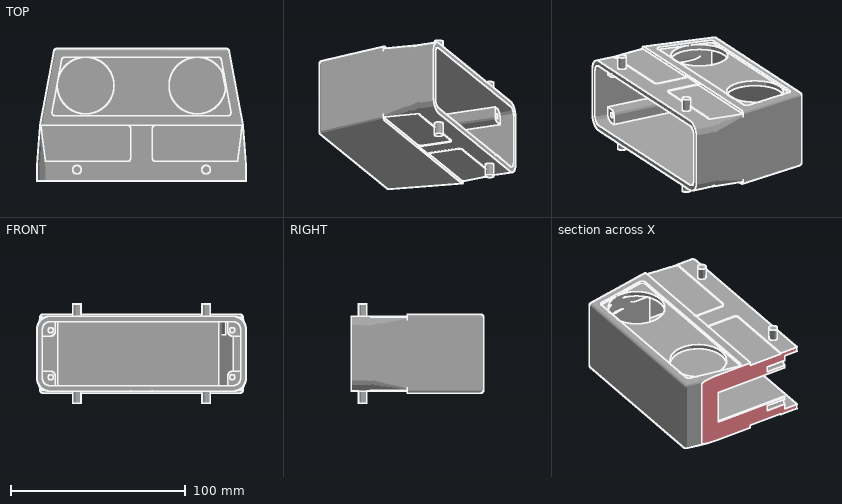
import cadquery as cq


overall_depth = 76.0
pin_span = 57.0

flange_width = 120.0
flange_height = 43.0
flange_depth = 9.0
flange_radius = 7.5
neck_blend_start = 11.2
neck_end_radius = 2.0

body_start = 32.0
body_front_width = 116.5
body_rear_width = 100.0
body_height = 45.4
body_edge_radius = 2.0

wall = 3.2
cavity_width = flange_width - 2 * wall
cavity_height = flange_height - 2 * wall
cavity_radius = flange_radius - wall
cavity_end = 72.0
left_wall_end = 48.0
right_wall_start = 52.5
right_wall_end = 44.3

post_start = 8.4
post_inner_x = 49.4
post_inner_z = 10.0
post_radius = 3.0
screw_x = 52.0
screw_z = 13.5
screw_diameter = 3.0
screw_depth = 12.0

pin_diameter = 4.9
pin_x = 37.0
pin_y = 6.5

panel_depth = 0.5
panel_start = neck_blend_start
panel_inner_x = 6.2
panel_radius = 2.0

label_depth = 1.4
label_front = 37.3
label_rear = 71.0
label_front_width = 103.4
label_rear_width = 91.0
label_radius = 2.0

entry_diameter = 32.5
entry_x = 32.0
entry_y = 54.7
entry_bottom = 10.8


def plane_at_depth(y):
    """Plane parallel to the opening, with local Y along +Z and its normal along -Y."""
    return cq.Plane(origin=(0, y, 0), xDir=(1, 0, 0), normal=(0, -1, 0))


def rounded_slab(width, height, radius, start, end):
    """Rounded rectangle in XZ, extruded from Y = start to Y = end."""
    slab = cq.Workplane(plane_at_depth(start)).rect(width, height).extrude(start - end)
    return slab.edges("|Y").fillet(radius)


def rounded_wire(width, height, radius, y):
    """Outline of a rounded rectangle in XZ at depth Y = y."""
    slab = rounded_slab(width, height, radius, y, overall_depth)
    return slab.faces("<Y").wires().val()


def trapezoid(front_width, rear_width, front, rear, bottom, height):
    """Symmetric trapezoid in XY, extruded upwards from Z = bottom."""
    corners = [
        (-front_width / 2, front),
        (front_width / 2, front),
        (rear_width / 2, rear),
        (-rear_width / 2, rear),
    ]
    return cq.Workplane(origin=(0, 0, bottom)).polyline(corners).close().extrude(height)


def make_neck():
    """Tapered neck whose corner radius shrinks from the flange radius towards the body."""
    taper = (flange_width - body_front_width) / (body_start - flange_depth)
    blend_width = flange_width - taper * (neck_blend_start - flange_depth)
    sections = [
        rounded_wire(flange_width, flange_height, flange_radius, flange_depth),
        rounded_wire(blend_width, flange_height, flange_radius, neck_blend_start),
        rounded_wire(body_front_width, flange_height, neck_end_radius, body_start),
    ]
    return cq.Workplane(cq.Solid.makeLoft(sections, True))


def make_shell():
    flange = rounded_slab(flange_width, flange_height, flange_radius, 0, flange_depth)
    body = trapezoid(
        body_front_width, body_rear_width, body_start, overall_depth, -body_height / 2, body_height
    )
    body = body.edges(">Y or (not (|X or |Z))").fillet(body_edge_radius)
    return flange.union(make_neck()).union(body)


def make_cavity():
    """Straight mouth and a tapering rear chamber, with a ledge on the +X side where they meet."""
    mouth = rounded_slab(cavity_width, cavity_height, cavity_radius, 0, body_start)
    corners = [
        (-cavity_width / 2, body_start),
        (right_wall_start, body_start),
        (right_wall_end, cavity_end),
        (-left_wall_end, cavity_end),
    ]
    chamber_floor = cq.Workplane(origin=(0, 0, -cavity_height / 2)).polyline(corners).close()
    chamber = chamber_floor.extrude(cavity_height)
    return mouth.union(chamber)


def make_posts(cavity):
    """Four corner posts, trimmed to the cavity so that they end on its walls."""
    post_width = flange_width / 2 - post_inner_x
    post_height = flange_height / 2 - post_inner_z
    posts = cq.Workplane()
    for side in (-1, 1):
        for level in (-1, 1):
            post = (
                cq.Workplane(plane_at_depth(post_start))
                .center(side * (post_inner_x + post_width / 2), level * (post_inner_z + post_height / 2))
                .rect(post_width, post_height)
                .extrude(post_start - cavity_end)
            )
            inner_edge = cq.selectors.NearestToPointSelector(
                (side * post_inner_x, (post_start + cavity_end) / 2, level * post_inner_z)
            )
            posts = posts.add(post.edges(inner_edge).fillet(post_radius))
    return posts.combine().intersect(cavity)


def make_screw_holes():
    return (
        cq.Workplane(plane_at_depth(post_start))
        .rect(2 * screw_x, 2 * screw_z, forConstruction=True)
        .vertices()
        .circle(screw_diameter / 2)
        .extrude(-screw_depth)
    )


def make_panels():
    """Panel recesses that run out through the sides of the neck."""
    panel_width = flange_width / 2 - panel_inner_x
    panel_length = body_start - panel_start
    recess_top = flange_height / 2
    panels = cq.Workplane()
    for side in (-1, 1):
        panel_x = side * (panel_inner_x + panel_width / 2)
        inner_face = "<X" if side > 0 else ">X"
        for bottom in (-recess_top, recess_top - panel_depth):
            panel = (
                cq.Workplane(origin=(panel_x, panel_start + panel_length / 2, bottom))
                .rect(panel_width, panel_length)
                .extrude(panel_depth)
            )
            panels = panels.add(panel.faces(inner_face).edges("|Z").fillet(panel_radius))
    return panels.combine()


def make_label_field():
    field = trapezoid(
        label_front_width,
        label_rear_width,
        label_front,
        label_rear,
        body_height / 2 - label_depth,
        label_depth,
    )
    return field.edges("|Z").fillet(label_radius)


def make_cable_entries():
    return (
        cq.Workplane(origin=(0, 0, entry_bottom))
        .pushPoints([(-entry_x, entry_y), (entry_x, entry_y)])
        .circle(entry_diameter / 2)
        .extrude(body_height / 2 - entry_bottom)
    )


def make_pins():
    """Pins that stand on the flange, ending flush with the cavity walls."""
    pins = cq.Workplane()
    for side in (-1, 1):
        pin = cq.Workplane(origin=(side * pin_x, pin_y, cavity_height / 2)).circle(pin_diameter / 2)
        pin = pin.extrude((pin_span - cavity_height) / 2)
        pins = pins.add(pin).add(pin.mirror("XY"))
    return pins.combine()


cavity = make_cavity()
result = (
    make_shell()
    .cut(cavity)
    .union(make_posts(cavity))
    .cut(make_screw_holes())
    .cut(make_panels())
    .cut(make_label_field())
    .cut(make_cable_entries())
    .union(make_pins())
)